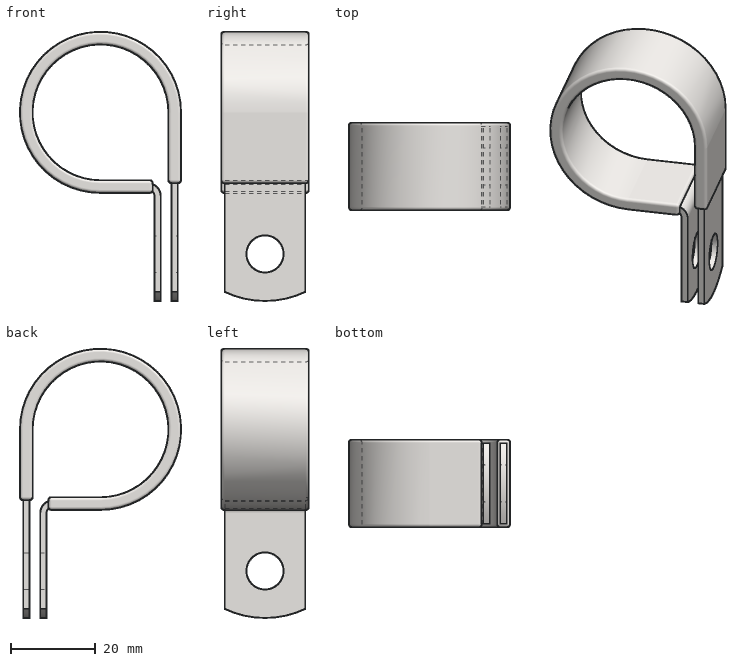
import cadquery as cq
import math

outer_diameter = 38.0
cushion_width = 20.7
cushion_layer = 0.75
strap_thickness = 1.5
strap_width = 19.0
edge_radius = 0.75
side_end = 16.7
bottom_end = 12.3
inner_tab_left = 12.7
bend_inner_radius = 1.45
overall_height = 63.4
hole_diameter = 8.7
hole_to_tip = 11.1
tip_rise = 2.15

outer_radius = outer_diameter / 2
wall = strap_thickness + 2 * cushion_layer
inner_radius = outer_radius - wall
strap_outer = outer_radius - cushion_layer
strap_inner = strap_outer - strap_thickness
tip_z = outer_radius - overall_height
bend_outer_radius = bend_inner_radius + strap_thickness
bend_z = -strap_outer - bend_inner_radius
bend_x = inner_tab_left - bend_inner_radius
inner_tab_right = inner_tab_left + strap_thickness
strap_overlap = 2 * edge_radius


def make_cushion():
    """Three-quarter loop with two straight ends and rounded edges all round."""
    diagonal = math.sqrt(0.5)
    body = (
        cq.Workplane("XZ")
        .moveTo(outer_radius, -side_end)
        .lineTo(outer_radius, 0)
        .threePointArc((-outer_radius * diagonal, outer_radius * diagonal), (0, -outer_radius))
        .lineTo(bottom_end, -outer_radius)
        .lineTo(bottom_end, -inner_radius)
        .lineTo(0, -inner_radius)
        .threePointArc((-inner_radius * diagonal, inner_radius * diagonal), (inner_radius, 0))
        .lineTo(inner_radius, -side_end)
        .close()
        .extrude(cushion_width / 2, both=True)
    )
    rim_edges = body.faces("<Y or >Y").edges()
    wall_middle = outer_radius - wall / 2
    side_face = cq.selectors.NearestToPointSelector((wall_middle, 0, -side_end))
    bottom_face = cq.selectors.NearestToPointSelector((bottom_end, 0, -wall_middle))
    side_end_edges = body.faces(side_face).edges("|Y")
    bottom_end_edges = body.faces(bottom_face).edges("|Y")
    return body.newObject(
        rim_edges.vals() + side_end_edges.vals() + bottom_end_edges.vals()
    ).fillet(edge_radius)


def make_outer_tab():
    """Straight tab leaving the side end of the cushion."""
    return (
        cq.Workplane("XZ")
        .moveTo(strap_inner, -side_end + strap_overlap)
        .lineTo(strap_outer, -side_end + strap_overlap)
        .lineTo(strap_outer, tip_z)
        .lineTo(strap_inner, tip_z)
        .close()
        .extrude(strap_width / 2, both=True)
    )


def make_inner_tab():
    """Tab leaving the bottom end of the cushion and bending down."""
    return (
        cq.Workplane("XZ")
        .moveTo(bend_x, -strap_inner)
        .radiusArc((inner_tab_right, bend_z), bend_outer_radius)
        .lineTo(inner_tab_right, tip_z)
        .lineTo(inner_tab_left, tip_z)
        .lineTo(inner_tab_left, bend_z)
        .radiusArc((bend_x, -strap_outer), -bend_inner_radius)
        .close()
        .extrude(strap_width / 2, both=True)
    )


def make_tab_outline():
    """Block along X with the rounded tip and bolt hole shared by both tabs."""
    half_width = strap_width / 2
    return (
        cq.Workplane("YZ")
        .moveTo(-half_width, 0)
        .lineTo(-half_width, tip_z + tip_rise)
        .threePointArc((0, tip_z), (half_width, tip_z + tip_rise))
        .lineTo(half_width, 0)
        .close()
        .moveTo(0, tip_z + hole_to_tip)
        .circle(hole_diameter / 2)
        .extrude(outer_radius)
    )


tabs = make_outer_tab().union(make_inner_tab()).intersect(make_tab_outline())
result = make_cushion().union(tabs)